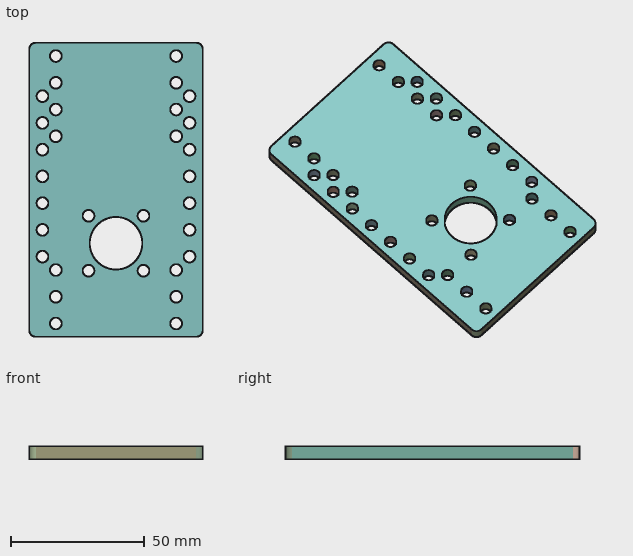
import cadquery as cq

length = 110.0
pitch = length / 11
width = 6.5 * pitch
thickness = pitch / 2
corner_radius = pitch / 4

hole_diameter = 4.3
inner_column_x = width / 2 - pitch
outer_column_x = width / 2 - pitch / 2
inner_row_steps = [-5, -4, -3, 2, 3, 4, 5]
outer_row_steps = [-2.5, -1.5, -0.5, 0.5, 1.5, 2.5, 3.5]

bore_diameter = 19.6
bore_y = -2 * pitch
bolt_circle_diameter = 29.0
bolt_count = 4
first_bolt_angle = 45


def make_plate():
    plate = cq.Workplane("XY").box(width, length, thickness)
    return plate.edges("|Z").fillet(corner_radius)


def mirrored_columns(column_x, row_steps):
    """Hole centres in two columns, one on each side of the plate's midline."""
    return [(side * column_x, step * pitch) for side in (-1, 1) for step in row_steps]


def cut_edge_holes(plate):
    centres = mirrored_columns(inner_column_x, inner_row_steps)
    centres += mirrored_columns(outer_column_x, outer_row_steps)
    return plate.faces(">Z").workplane(origin=(0, 0, 0)).pushPoints(centres).hole(hole_diameter)


def cut_bore_and_bolt_holes(plate):
    bored = plate.faces(">Z").workplane(origin=(0, bore_y, 0)).hole(bore_diameter)
    return (
        bored.faces(">Z")
        .workplane(origin=(0, bore_y, 0))
        .polarArray(bolt_circle_diameter / 2, first_bolt_angle, 360, bolt_count)
        .hole(hole_diameter)
    )


result = cut_bore_and_bolt_holes(cut_edge_holes(make_plate()))